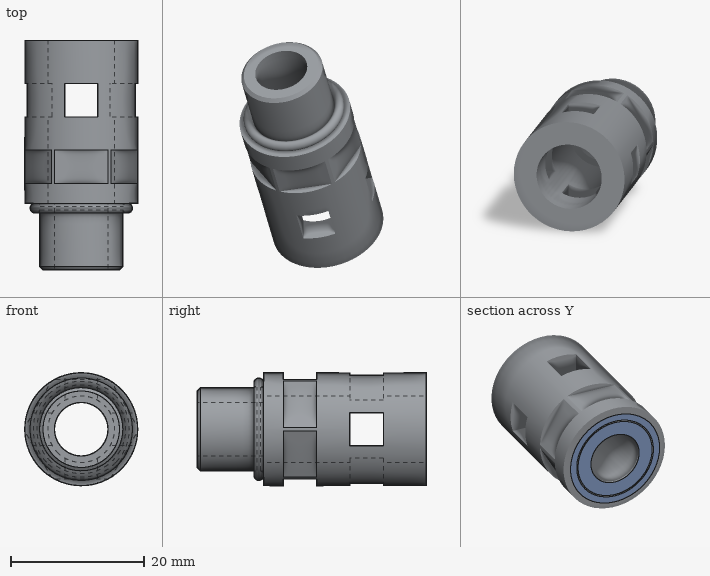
import cadquery as cq


total_length = 34.5
body_length = 24.5
body_diameter = 17.0
body_bore_diameter = 10.0

spigot_diameter = 12.5
spigot_bore_diameter = 8.0
spigot_chamfer = 0.5
ring_section_diameter = 1.5
ring_embedding = 0.05

across_flats = 15.0
flat_length = 5.0
flat_front_from_shoulder = 3.0
flat_count = 6

window_length = 5.0
window_width = 4.9
window_front_from_shoulder = 13.0

spigot_face_y = 0.0
shoulder_y = spigot_face_y + total_length - body_length


def cylinder_along_y(diameter, start_y, length):
    """Solid cylinder on the Y axis, running from start_y toward +Y."""
    base = cq.Workplane("XZ", origin=(0, start_y, 0))
    return base.circle(diameter / 2).extrude(-length)


def make_body():
    return cylinder_along_y(body_diameter, shoulder_y, body_length)


def make_spigot():
    spigot = cylinder_along_y(spigot_diameter, spigot_face_y, shoulder_y - spigot_face_y)
    return spigot.faces("<Y").chamfer(spigot_chamfer)


def make_sealing_ring():
    """Round-section ring seated on the spigot against the shoulder."""
    section_radius = ring_section_diameter / 2
    ring_center_radius = spigot_diameter / 2 + section_radius - ring_embedding
    ring_y = shoulder_y - section_radius + ring_embedding
    section = cq.Workplane("XY").center(ring_center_radius, ring_y).circle(section_radius)
    return section.revolve(360, (-ring_center_radius, 0, 0), (-ring_center_radius, 1, 0))


def make_bore():
    """Stepped through bore: narrow in the spigot, wider along the body."""
    spigot_bore = cylinder_along_y(spigot_bore_diameter, spigot_face_y, total_length)
    body_bore = cylinder_along_y(body_bore_diameter, shoulder_y, body_length)
    return spigot_bore.union(body_bore)


def make_flat_cutter():
    """Ring of material outside the hexagon, over the length of the wrench flats."""
    flat_center_y = shoulder_y + flat_front_from_shoulder + flat_length / 2
    cut_depth = (body_diameter - across_flats) / 2
    block = cq.Workplane("XY").box(body_diameter, flat_length, cut_depth)
    block = block.translate((0, flat_center_y, (across_flats + cut_depth) / 2))
    cutter = cq.Workplane("XY")
    for index in range(flat_count):
        cutter = cutter.add(block.rotate((0, 0, 0), (0, 1, 0), index * 360 / flat_count))
    return cutter.combine()


def make_window_cutter():
    """Two rectangular passages through the body, along X and along Z."""
    window_center_y = shoulder_y + window_front_from_shoulder + window_length / 2
    along_x = cq.Workplane("XY").box(body_diameter, window_length, window_width)
    along_z = cq.Workplane("XY").box(window_width, window_length, body_diameter)
    return along_x.union(along_z).translate((0, window_center_y, 0))


result = (
    make_body()
    .union(make_spigot())
    .union(make_sealing_ring())
    .cut(make_bore())
    .cut(make_flat_cutter())
    .cut(make_window_cutter())
)